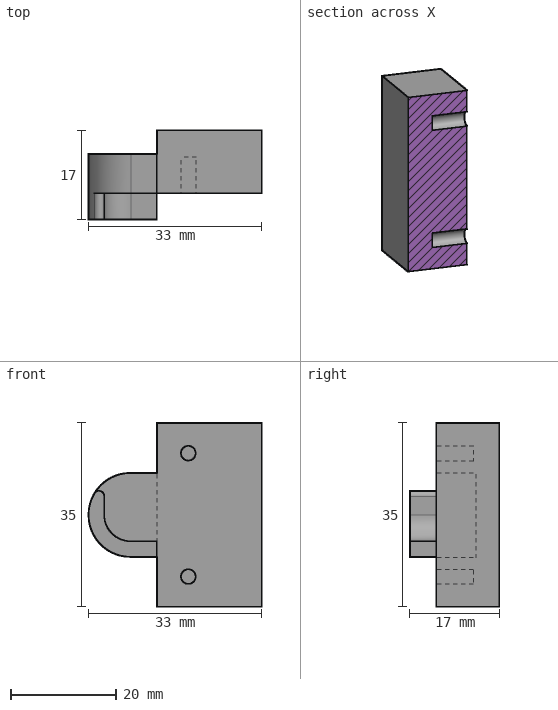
import cadquery as cq
import math

block_width = 20.0
block_depth = 12.0
block_height = 35.0

lug_radius = 8.0
lug_center_x = -5.0
lug_depth = 7.5

lip_projection = 5.0
lip_inner_radius = 5.0
tip_radius = 1.0

hole_diameter = 2.8
hole_inset = 6.0
hole_spacing = 23.5
hole_depth = 7.0


def make_block():
    return cq.Workplane("XY").box(
        block_width, block_depth, block_height, centered=(False, False, True)
    )


def make_lug():
    """D-shaped lug, flush with the front of the block."""
    return (
        cq.Workplane("XZ")
        .moveTo(0, -lug_radius)
        .lineTo(lug_center_x, -lug_radius)
        .threePointArc((lug_center_x - lug_radius, 0), (lug_center_x, lug_radius))
        .lineTo(0, lug_radius)
        .close()
        .extrude(-lug_depth)
    )


def make_lip():
    """J-shaped lip following the lug, with a round tip tangent to both its walls."""
    inner_x = lug_center_x - lip_inner_radius
    tip_x = inner_x - tip_radius
    tip_reach = lug_radius - tip_radius
    tip_z = math.sqrt(tip_reach**2 - (tip_x - lug_center_x) ** 2)
    outer_scale = lug_radius / tip_reach
    tip_outer = (lug_center_x + (tip_x - lug_center_x) * outer_scale, tip_z * outer_scale)
    inner_diagonal = lip_inner_radius * math.sqrt(0.5)
    return (
        cq.Workplane("XZ")
        .moveTo(0, -lug_radius)
        .lineTo(lug_center_x, -lug_radius)
        .threePointArc((lug_center_x - lug_radius, 0), tip_outer)
        .threePointArc((tip_x, tip_z + tip_radius), (inner_x, tip_z))
        .lineTo(inner_x, 0)
        .threePointArc(
            (lug_center_x - inner_diagonal, -inner_diagonal),
            (lug_center_x, -lip_inner_radius),
        )
        .lineTo(0, -lip_inner_radius)
        .close()
        .extrude(lip_projection)
    )


def make_holes():
    return (
        cq.Workplane("XZ")
        .pushPoints([(hole_inset, side * hole_spacing / 2) for side in (-1, 1)])
        .circle(hole_diameter / 2)
        .extrude(-hole_depth)
    )


result = make_block().union(make_lug()).union(make_lip()).cut(make_holes())